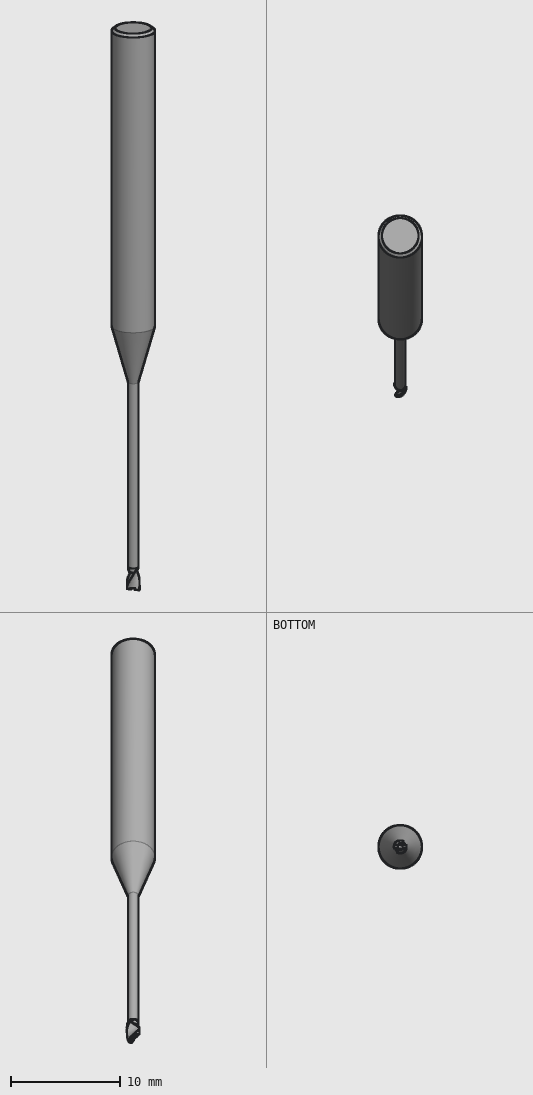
import cadquery as cq
import math

total_length = 54.0
shank_radius = 2.0
shank_chamfer_width = 0.3
shank_chamfer_height = 0.25
shoulder_z = 25.3
cone_bottom_z = 19.9
neck_radius = 0.5

head_top_z = 2.15
flute_top_z = 1.8
cutter_radius = 0.6
web_thickness = 0.4
helix_angle = 30.0
runout_depth = 0.2
runout_rise = 0.3

tip_land_width = 0.2
tip_gash_height = 0.45
tip_notch_width = 0.4
tip_notch_height = 0.15


def make_shank():
    """Chamfered shank, conical reduction and slender neck, turned about Z."""
    return (
        cq.Workplane("XZ")
        .moveTo(0, head_top_z)
        .lineTo(neck_radius, head_top_z)
        .lineTo(neck_radius, cone_bottom_z)
        .lineTo(shank_radius, shoulder_z)
        .lineTo(shank_radius, total_length - shank_chamfer_height)
        .lineTo(shank_radius - shank_chamfer_width, total_length)
        .lineTo(0, total_length)
        .close()
        .revolve(360, (0, 0, 0), (0, 1, 0))
    )


def make_twisted_blades():
    """Straight-sided web with round cutting edges, twisted along the helix."""
    half_web = web_thickness / 2
    edge_x = math.sqrt(cutter_radius**2 - half_web**2)
    lead = 2 * math.pi * cutter_radius / math.tan(math.radians(helix_angle))
    twist = 360 * flute_top_z / lead
    return (
        cq.Workplane("XY")
        .moveTo(-edge_x, -half_web)
        .lineTo(edge_x, -half_web)
        .threePointArc((cutter_radius, 0), (edge_x, half_web))
        .lineTo(-edge_x, half_web)
        .threePointArc((-cutter_radius, 0), (-edge_x, -half_web))
        .close()
        .twistExtrude(flute_top_z, twist)
    )


def make_tip_gash():
    """Wedge that narrows one side of the end face to the tip land."""
    half_land = tip_land_width / 2
    return (
        cq.Workplane("YZ")
        .moveTo(half_land, 0)
        .lineTo(cutter_radius, 0)
        .lineTo(cutter_radius, tip_gash_height)
        .close()
        .extrude(cutter_radius, both=True)
    )


def make_tip_notch():
    """Central slot that leaves two end teeth."""
    return cq.Workplane("XY").box(
        tip_notch_width, 2 * cutter_radius, tip_notch_height, centered=(True, True, False)
    )


def make_runout():
    """Sloping wedge where one flute runs out into the round collar."""
    return (
        cq.Workplane("XZ")
        .moveTo(neck_radius - runout_depth, flute_top_z)
        .lineTo(neck_radius, flute_top_z)
        .lineTo(neck_radius, flute_top_z + runout_rise)
        .close()
        .extrude(neck_radius, both=True)
    )


def make_cutting_head():
    """Helical blades joined to a round collar, with ground tip and flute runouts."""
    collar = (
        cq.Workplane("XY")
        .workplane(offset=flute_top_z)
        .circle(neck_radius)
        .extrude(head_top_z - flute_top_z)
    )
    head = make_twisted_blades().union(collar)
    for angle in (0, 180):
        head = head.cut(make_tip_gash().rotate((0, 0, 0), (0, 0, 1), angle))
        head = head.cut(make_runout().rotate((0, 0, 0), (0, 0, 1), angle))
    return head.cut(make_tip_notch())


shank = make_shank()
cutting_head = make_cutting_head()

result = cq.Compound.makeCompound([shank.val(), cutting_head.val()])